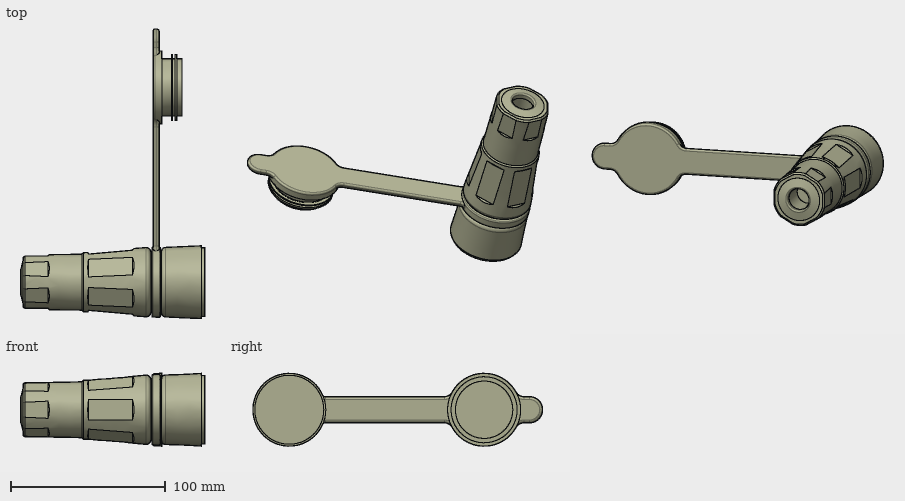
import cadquery as cq
import math


NUT_REAR_X = 1.5
NUT_FRONT_X = 39.5
NUT_REAR_R = 17.5
NUT_NECK_R = 18.1
NUT_CHAMFER = 1.1
NUT_FLAT_DISTANCE = 16.93
NUT_FLAT_FRONT_X = 17.5
CABLE_HOLE_R = 7.1
CABLE_HOLE_END_X = 22.5

GROMMET_R = 14.0
GROMMET_FRONT_X = 3.7
GROMMET_TIP_X = -0.28
GROMMET_MOUTH_FILLET = 1.0

SLEEVE_CHAMFER = 1.0
SLEEVE_RIM_X = NUT_FRONT_X + SLEEVE_CHAMFER
SLEEVE_RIM_R = NUT_NECK_R + SLEEVE_CHAMFER
SLEEVE_SHOULDER_X = 80.8
SLEEVE_SHOULDER_R = 22.5
SLEEVE_END_X = 84.0
SLEEVE_FLAT_REAR_X = 43.8
SLEEVE_FLAT_FRONT_X = 72.0
SLEEVE_FLAT_HALF_WIDTH = 6.5
CORE_R = 19.6
TIP_REAR_X = 116.5
TIP_FRONT_X = 118.8
TIP_R = 22.3

FLAT_COUNT = 6
REAR_WALL_SLOPE = 0.5
FRONT_WALL_SLOPE = 1.0
CUTTER_CLEARANCE = 3.7

SHELL_REAR_X = 90.7
SHELL_ROUND_LENGTH = 2.8
SHELL_REAR_R = 22.54
SHELL_FRONT_R = 23.5

RING_REAR_X = 84.5
RING_WIDTH = 5.6
RING_R = 22.6
RING_EDGE_FILLET = 0.7
STRAP_REAR_X = 85.5
STRAP_THICKNESS = 4.0
STRAP_WIDTH = 17.0
REAR_EDGE_FILLET = 1.3
FRONT_EDGE_FILLET = 1.9
CAP_Y = 125.7
CAP_R = 23.5
CAP_THICKNESS = 5.6
CAP_NECK_FILLET = 5.8
RING_NECK_FILLET = 3.7
TAB_REACH = 37.8
PLUG_R = 18.5
PLUG_FRONT_X = 104.2
RIB_R = 21.3
RIBS = [(97.3, 0.7), (99.5, 1.3)]


def turned(profile):
    """Revolve a closed (x, radius) profile around the X axis."""
    return profile.close().revolve(360, (0, 0, 0), (1, 0, 0))


def cylinder(rear_x, front_x, radius, y=0):
    return cq.Workplane("YZ", origin=(rear_x, y, 0)).circle(radius).extrude(front_x - rear_x)


def cut_flats(body, outline):
    """Cut evenly spaced grip flats; the outline holds (x, distance from axis) points."""
    width = 2 * SHELL_FRONT_R
    cutter = cq.Workplane("XY").polyline(outline).close().extrude(width / 2, both=True)
    for index in range(FLAT_COUNT):
        body = body.cut(cutter.rotate((0, 0, 0), (1, 0, 0), index * 360 / FLAT_COUNT))
    return body


def make_nut():
    nut = turned(
        cq.Workplane("XY")
        .moveTo(NUT_REAR_X, 0)
        .lineTo(NUT_REAR_X, NUT_REAR_R)
        .lineTo(NUT_FRONT_X, NUT_NECK_R)
        .lineTo(NUT_FRONT_X, 0)
    )
    top = NUT_FLAT_DISTANCE + CUTTER_CLEARANCE
    nut = cut_flats(nut, [
        (NUT_REAR_X - CUTTER_CLEARANCE, NUT_FLAT_DISTANCE),
        (NUT_FLAT_FRONT_X, NUT_FLAT_DISTANCE),
        (NUT_FLAT_FRONT_X + CUTTER_CLEARANCE * FRONT_WALL_SLOPE, top),
        (NUT_REAR_X - CUTTER_CLEARANCE, top),
    ])
    nut = nut.faces("<X").chamfer(NUT_CHAMFER)
    nut = nut.cut(cylinder(NUT_REAR_X, GROMMET_FRONT_X, GROMMET_R))
    return nut.cut(cylinder(GROMMET_FRONT_X, CABLE_HOLE_END_X, CABLE_HOLE_R))


def make_grommet():
    grommet = turned(
        cq.Workplane("XY")
        .moveTo(GROMMET_TIP_X, CABLE_HOLE_R)
        .lineTo(NUT_REAR_X, GROMMET_R)
        .lineTo(GROMMET_FRONT_X, GROMMET_R)
        .lineTo(GROMMET_FRONT_X, CABLE_HOLE_R)
    )
    return grommet.edges("<X").fillet(GROMMET_MOUTH_FILLET)


def sleeve_radius(x):
    taper = (SLEEVE_SHOULDER_R - SLEEVE_RIM_R) / (SLEEVE_SHOULDER_X - SLEEVE_RIM_X)
    return SLEEVE_RIM_R + taper * (x - SLEEVE_RIM_X)


def sleeve_flat_distance(x):
    """Distance from the axis at which a flat has the chosen width on the taper."""
    return math.sqrt(sleeve_radius(x) ** 2 - SLEEVE_FLAT_HALF_WIDTH ** 2)


def make_sleeve():
    sleeve = turned(
        cq.Workplane("XY")
        .moveTo(NUT_FRONT_X, 0)
        .lineTo(NUT_FRONT_X, NUT_NECK_R)
        .lineTo(SLEEVE_RIM_X, SLEEVE_RIM_R)
        .lineTo(SLEEVE_SHOULDER_X, SLEEVE_SHOULDER_R)
        .radiusArc((SLEEVE_END_X, CORE_R), SLEEVE_END_X - SLEEVE_SHOULDER_X)
        .lineTo(TIP_REAR_X, CORE_R)
        .lineTo(TIP_REAR_X, TIP_R)
        .lineTo(TIP_FRONT_X, TIP_R)
        .lineTo(TIP_FRONT_X, 0)
    )

    rear_distance = sleeve_flat_distance(SLEEVE_FLAT_REAR_X)
    front_distance = sleeve_flat_distance(SLEEVE_FLAT_FRONT_X)
    return cut_flats(sleeve, [
        (SLEEVE_FLAT_REAR_X, rear_distance),
        (SLEEVE_FLAT_FRONT_X, front_distance),
        (SLEEVE_FLAT_FRONT_X + CUTTER_CLEARANCE * FRONT_WALL_SLOPE, front_distance + CUTTER_CLEARANCE),
        (SLEEVE_FLAT_REAR_X - CUTTER_CLEARANCE * REAR_WALL_SLOPE, rear_distance + CUTTER_CLEARANCE),
    ])


def make_shell():
    return turned(
        cq.Workplane("XY")
        .moveTo(SHELL_REAR_X, CORE_R)
        .radiusArc((SHELL_REAR_X + SHELL_ROUND_LENGTH, SHELL_REAR_R), SHELL_REAR_R - CORE_R)
        .lineTo(TIP_REAR_X, SHELL_FRONT_R)
        .lineTo(TIP_REAR_X, CORE_R)
    )


def make_strap_plate():
    """Strap with its pull tab and the lobes behind the cap and in the ring, as one round-edged plate."""
    tab_end_y = CAP_Y + TAB_REACH
    strap_length = tab_end_y - STRAP_WIDTH / 2
    front_x = STRAP_REAR_X + STRAP_THICKNESS
    plate = (
        cq.Workplane("YZ", origin=(STRAP_REAR_X, strap_length / 2, 0))
        .rect(strap_length, STRAP_WIDTH)
        .extrude(STRAP_THICKNESS)
    )
    plate = plate.union(cylinder(STRAP_REAR_X, front_x, STRAP_WIDTH / 2, strap_length))
    for lobe_y, lobe_r, neck_fillet in [(CAP_Y, CAP_R, CAP_NECK_FILLET), (0, RING_R, RING_NECK_FILLET)]:
        plate = plate.union(cylinder(STRAP_REAR_X, front_x, lobe_r, lobe_y))
        neck_corners = cq.selectors.BoxSelector(
            (STRAP_REAR_X, lobe_y - lobe_r, -STRAP_WIDTH),
            (front_x, lobe_y + lobe_r, STRAP_WIDTH),
        )
        plate = plate.edges("|X").edges(neck_corners).fillet(neck_fillet)
    plate = plate.faces(">X").edges().fillet(FRONT_EDGE_FILLET)
    return plate.faces("<X").edges().fillet(REAR_EDGE_FILLET)


def make_cap():
    cap_front_x = STRAP_REAR_X + CAP_THICKNESS
    disc = cylinder(STRAP_REAR_X, cap_front_x, CAP_R, CAP_Y)
    disc = disc.faces("<X").edges().fillet(REAR_EDGE_FILLET)
    ring = cylinder(RING_REAR_X, RING_REAR_X + RING_WIDTH, RING_R)
    ring = ring.edges("%CIRCLE").fillet(RING_EDGE_FILLET)
    cap = make_strap_plate().union(disc).union(ring)
    cap = cap.cut(cylinder(RING_REAR_X, RING_REAR_X + RING_WIDTH, CORE_R))
    cap = cap.union(cylinder(cap_front_x, PLUG_FRONT_X, PLUG_R, CAP_Y))
    for rear_x, width in RIBS:
        cap = cap.union(cylinder(rear_x, rear_x + width, RIB_R, CAP_Y))
    return cap


nut = make_nut()
grommet = make_grommet()
sleeve = make_sleeve()
shell = make_shell()
cap = make_cap()

result = cq.Compound.makeCompound([nut.val(), grommet.val(), sleeve.val(), shell.val(), cap.val()])